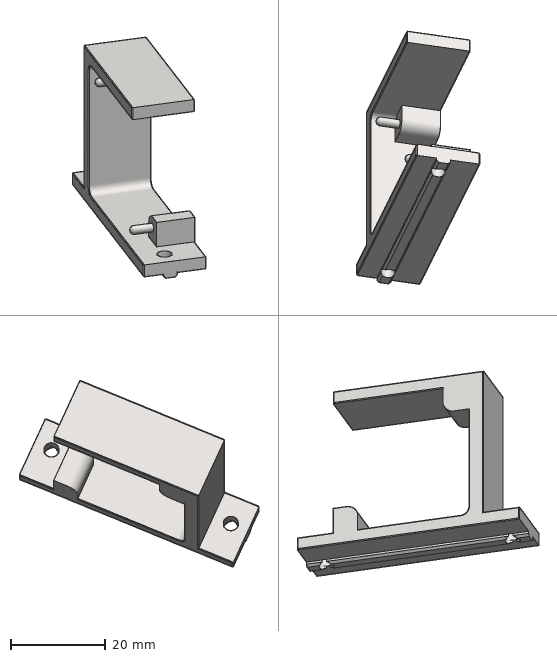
import cadquery as cq
import math

length = 49.5
depth = 14.0
height = 37.0

rib_height = 1.0
base_thickness = 2.8
wall_thickness = 3.3
arm_thickness = 2.8
flange_length = 8.0
corner_radius = 1.8
edge_chamfer = 0.2
joint_overlap = 0.2

base_top = rib_height + base_thickness
arm_bottom = height - arm_thickness
wall_left = flange_length
wall_right = wall_left + wall_thickness
arm_right = length - flange_length

mount_diameter = 3.2
mount_inset = 4.0
mount_y = 6.0
rib_width = 3.05
rib_chamfer = 0.5

lug_depth = 8.5
lug_radius = 2.5
lug_front = depth - lug_depth
pin_diameter = 1.9
pin_length = 5.0
pin_root_y = lug_front + lug_depth / 2
pin_spacing = 24.0
lower_pin_x = 38.5
lower_pin_z = 7.0
upper_pin_x = lower_pin_x - pin_spacing
upper_pin_z = lower_pin_z + pin_spacing


def block(x_range, y_range, z_range):
    """Box spanning the given (low, high) ranges."""
    spans = (x_range, y_range, z_range)
    sizes = [high - low for low, high in spans]
    corner = tuple(low for low, high in spans)
    return cq.Workplane("XY").box(*sizes, centered=False).translate(corner)


def make_frame():
    """Base, wall and arm with rounded inner corners and chamfered front and back outlines."""
    outline = [
        (0, rib_height),
        (length, rib_height),
        (length, base_top),
        (wall_right, base_top),
        (wall_right, arm_bottom),
        (arm_right, arm_bottom),
        (arm_right, height),
        (wall_left, height),
        (wall_left, base_top),
        (0, base_top),
    ]
    frame = cq.Workplane("XZ").polyline(outline).close().extrude(-depth)
    middle_y = depth / 2
    for corner_z in (base_top, arm_bottom):
        inner_corner = cq.NearestToPointSelector((wall_right, middle_y, corner_z))
        frame = frame.edges(inner_corner).fillet(corner_radius)
    return frame.faces("<Y or >Y").chamfer(edge_chamfer)


def make_rib():
    """Locating rib along the underside, with both lower edges chamfered."""
    rib = block(
        (0, length),
        (mount_y - rib_width / 2, mount_y + rib_width / 2),
        (0, rib_height + joint_overlap),
    )
    return rib.faces("<Z").edges("|X").chamfer(rib_chamfer)


def make_mount_holes():
    """Cylinders to cut through the base and the rib."""
    centers = [(mount_inset, mount_y), (length - mount_inset, mount_y)]
    return cq.Workplane("XY").pushPoints(centers).circle(mount_diameter / 2).extrude(base_top)


def make_lug(x_range, z_range, round_corner):
    """Block reaching forward from the back face, rounded at its free corner."""
    lug = block(x_range, (lug_front, depth), z_range)
    corner_x, corner_z = round_corner
    free_edge = cq.NearestToPointSelector((corner_x, depth - lug_depth / 2, corner_z))
    return lug.edges(free_edge).fillet(lug_radius)


def make_pin(pin_x, pin_z):
    """Pin reaching forward from the lug, revolved about its axis with a hemispherical nose."""
    radius = pin_diameter / 2
    tip_y = lug_front - pin_length
    nose_y = tip_y + radius
    arc_offset = radius * math.sqrt(0.5)
    profile = (
        cq.Workplane("XY")
        .moveTo(0, tip_y)
        .threePointArc((arc_offset, nose_y - arc_offset), (radius, nose_y))
        .lineTo(radius, pin_root_y)
        .lineTo(0, pin_root_y)
        .close()
    )
    return profile.revolve(360, (0, 0), (0, 1)).translate((pin_x, 0, pin_z))


upper_lug_right = upper_pin_x + lug_radius
upper_lug_bottom = upper_pin_z - lug_radius
lower_lug_left = lower_pin_x - lug_radius
lower_lug_top = lower_pin_z + lug_radius

upper_lug = make_lug(
    (wall_right - joint_overlap, upper_lug_right),
    (upper_lug_bottom, arm_bottom + joint_overlap),
    (upper_lug_right, upper_lug_bottom),
)
lower_lug = make_lug(
    (lower_lug_left, arm_right),
    (base_top - joint_overlap, lower_lug_top),
    (lower_lug_left, lower_lug_top),
)

result = (
    make_frame()
    .union(make_rib())
    .union(upper_lug)
    .union(lower_lug)
    .union(make_pin(upper_pin_x, upper_pin_z))
    .union(make_pin(lower_pin_x, lower_pin_z))
    .cut(make_mount_holes())
)